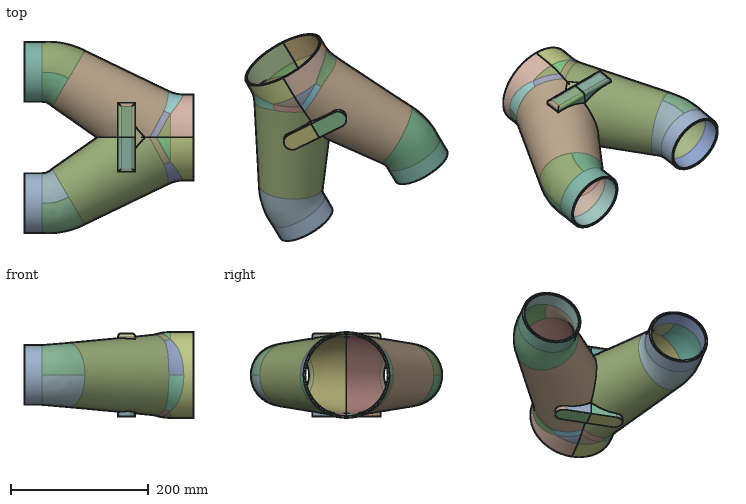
import cadquery as cq
import math

total_length = 245.0
wall = 3.0

outlet_radius = 87.0 / 2
outlet_offset = 95.0
spigot_length = 25.0
arm_angle = math.radians(30.4)
bend_lead = 4.5
bend_radius = 67.3
elbow_steps = 4
taper_rate = 0.0815
cone_length = 168.0

inlet_radius = 125.0 / 2
nose_length = 22.4
nose_drop = 4.0
collar_length = 34.0
arm_blend_radius = 50.0

plate_length = 100.0
plate_width = 25.0
plate_x = 148.0
plate_height = 60.5
plate_depth = 28.0
plate_edge_radius = 5.0

gusset_reach = 25.0
gusset_half_width = 25.0
gusset_height = 55.4

edge_tolerance = 0.1

bend_start_x = spigot_length + bend_lead
bend_end_x = bend_start_x + bend_radius * math.sin(arm_angle)
bend_end_y = outlet_offset - bend_radius * (1 - math.cos(arm_angle))
elbow_length = bend_lead + bend_radius * arm_angle
nose_start_x = total_length - collar_length - nose_length
plate_foot = plate_height - plate_depth

positive_y_side = cq.Workplane().box(
    2 * total_length, total_length, 2 * total_length, centered=(True, False, True))


def arm_direction(turn):
    """Direction of the arm centre line after it has turned by an angle."""
    return cq.Vector(math.cos(turn), -math.sin(turn), 0)


def elbow(start_radius):
    """Elbow after the spigot that widens steadily along its centre line."""
    sections = [cq.Wire.makeCircle(
        start_radius, cq.Vector(spigot_length, outlet_offset, 0), arm_direction(0))]
    for step in range(elbow_steps + 1):
        turn = arm_angle * step / elbow_steps
        centre = cq.Vector(
            bend_start_x + bend_radius * math.sin(turn),
            outlet_offset - bend_radius * (1 - math.cos(turn)),
            0)
        radius = start_radius + taper_rate * (bend_lead + bend_radius * turn)
        sections.append(cq.Wire.makeCircle(radius, centre, arm_direction(turn)))
    return cq.Workplane(cq.Solid.makeLoft(sections))


def arm(inset):
    """Spigot, elbow and cone of one arm, shrunk by the inset; the cone runs past the mid-plane."""
    start_radius = outlet_radius - inset
    cone_radius = start_radius + taper_rate * elbow_length
    spigot = (
        cq.Workplane("YZ")
        .center(outlet_offset, 0)
        .circle(start_radius)
        .extrude(spigot_length)
    )
    cone = cq.Workplane(cq.Solid.makeCone(
        cone_radius,
        cone_radius + taper_rate * cone_length,
        cone_length,
        cq.Vector(bend_end_x, bend_end_y, 0),
        arm_direction(arm_angle)))
    return spigot.union(elbow(start_radius)).union(cone)


def inlet(inset):
    """Inlet cylinder whose inner end curves in to meet the arms."""
    radius = inlet_radius - inset
    nose_arc_radius = (nose_length**2 + nose_drop**2) / (2 * nose_drop)
    return (
        cq.Workplane("XY")
        .moveTo(nose_start_x, 0)
        .lineTo(nose_start_x, radius - nose_drop)
        .radiusArc((nose_start_x + nose_length, radius), nose_arc_radius)
        .lineTo(total_length, radius)
        .lineTo(total_length, 0)
        .close()
        .revolve(360, (0, 0, 0), (1, 0, 0))
    )


def is_arm_joint(edge):
    """True for the edges where the outer side of the cone meets the straight collar."""
    box = edge.BoundingBox()
    reaches_collar_side = abs(box.ymax - inlet_radius) < edge_tolerance
    lies_on_collar = box.xmin > nose_start_x + nose_length - edge_tolerance
    return edge.geomType() == "BSPLINE" and reaches_collar_side and lies_on_collar


def duct_half():
    """Half of the hollow Y-shaped duct: one arm and half of the inlet."""
    outside = arm(0).intersect(positive_y_side).union(inlet(0).intersect(positive_y_side))
    joints = [edge for edge in outside.edges().vals() if is_arm_joint(edge)]
    outside = outside.newObject(joints).fillet(arm_blend_radius)
    inside = arm(wall).union(inlet(wall))
    return outside.cut(inside)


def upper_plate_half():
    """Half of the label plate with rounded top edges, seated on the arm."""
    plate = (
        cq.Workplane("XY", origin=(plate_x, 0, plate_foot))
        .rect(plate_width, plate_length)
        .extrude(plate_depth)
        .edges(">Z")
        .fillet(plate_edge_radius)
    )
    return plate.intersect(positive_y_side).cut(arm(0))


def lower_plate_half():
    """Half of the round-ended plate under the duct."""
    plate = (
        cq.Workplane("XY", origin=(plate_x, 0, -plate_height))
        .slot2D(plate_length, plate_width, 90)
        .extrude(plate_depth)
    )
    return plate.intersect(positive_y_side).cut(arm(0))


def gusset():
    """Triangular web that fills the saddle between the arms, against the upper plate."""
    web = (
        cq.Workplane("XY", origin=(plate_x + plate_width / 2, 0, plate_foot))
        .polyline([(0, -gusset_half_width), (gusset_reach, 0), (0, gusset_half_width)])
        .close()
        .extrude(gusset_height - plate_foot)
    )
    return web.cut(arm(0)).cut(arm(0).mirror("XZ"))


bodies = [gusset().val()]
for half in (duct_half(), upper_plate_half(), lower_plate_half()):
    bodies.append(half.val())
    bodies.append(half.mirror("XZ").val())

result = cq.Compound.makeCompound(bodies)